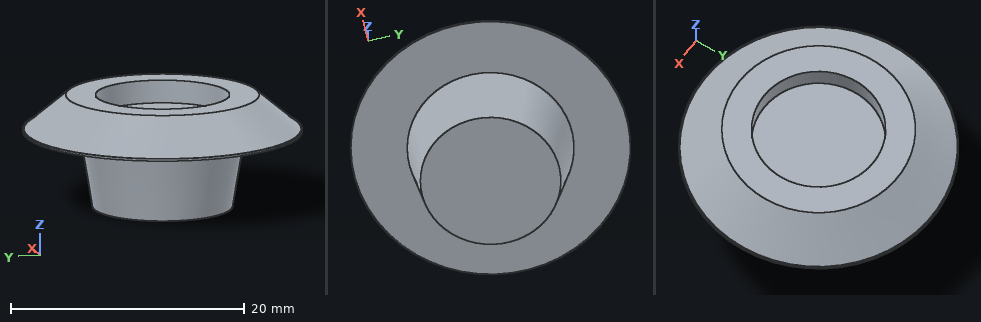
import cadquery as cq

total_height = 9.8
flange_diameter = 24.0

flange_height = 3.2
rim_height = 0.2
shoulder_base_diameter = 23.8
top_diameter = 16.6

stem_top_diameter = 14.3
stem_bottom_diameter = 12.05

pocket_diameter = 11.5
pocket_depth = 2.0

stem_height = total_height - flange_height
rim_top = stem_height + rim_height

body = (
    cq.Workplane("XZ")
    .lineTo(stem_bottom_diameter / 2, 0)
    .lineTo(stem_top_diameter / 2, stem_height)
    .lineTo(flange_diameter / 2, stem_height)
    .lineTo(flange_diameter / 2, rim_top)
    .lineTo(shoulder_base_diameter / 2, rim_top)
    .lineTo(top_diameter / 2, total_height)
    .lineTo(0, total_height)
    .close()
    .revolve(360, (0, 0, 0), (0, 1, 0))
)

pocket = (
    cq.Workplane("XY")
    .workplane(offset=total_height - pocket_depth)
    .circle(pocket_diameter / 2)
    .extrude(pocket_depth)
)

result = body.cut(pocket)